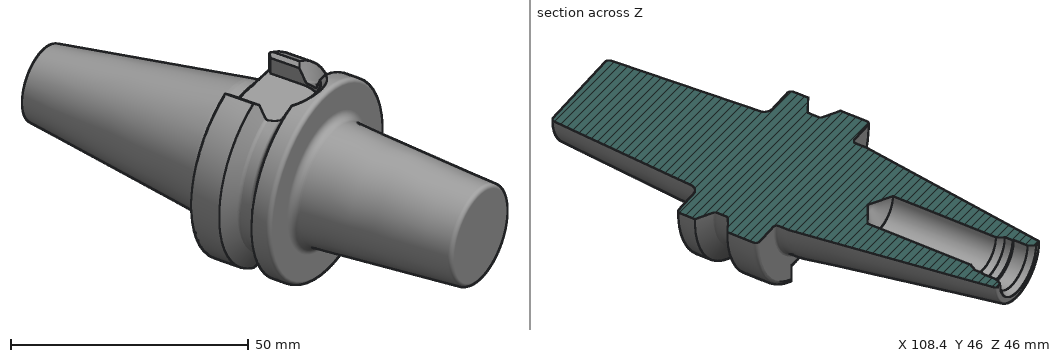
import cadquery as cq
import math


gauge_radius = 31.75 / 2
shank_length = 48.4
shank_taper = 7 / 48
tip_round = 0.45

neck_radius = 15.67
neck_blend_radius = 7.0
neck_fillet = 0.8

flange_start = 2.0
flange_width = 20.0
flange_radius = 23.0
flange_round = 1.0
groove_center = 13.4
groove_top_width = 8.0
groove_floor_radius = 18.8
groove_half_angle = math.radians(30)
groove_floor_round = 0.8

nose_end = 60.0
nose_end_radius = 11.5
nose_angle = math.radians(4)
nose_fillet = 2.0
nose_end_round = 1.0

slot_width = 16.1
slot_end = 19.0
slot_floor_height = 16.3
slot_mouth_chamfer = 1.0
slot_rim_chamfer = 1.3

bore_edge_chamfer = 0.25
bore_mouth_radius = 7.0
bore_pilot_radius = 6.3
bore_land_radius = 6.1
bore_thread_radius = 5.1
bore_mouth_depth = 1.5
bore_pilot_depth = 4.9
bore_land_depth = 7.0
bore_step_chamfer = 0.2
bore_thread_depth = 34.0
bore_cone_half_angle = math.radians(30)
drill_point_half_angle = math.radians(59)

shank_tip = -shank_length
flange_end = flange_start + flange_width
groove_start = groove_center - groove_top_width / 2
groove_stop = groove_center + groove_top_width / 2
slot_radius = slot_width / 2
selection_margin = 0.05


def make_body():
    """Revolve the outer profile of shank, neck, flange and nose about X."""
    shank_tip_radius = gauge_radius - shank_length * shank_taper
    neck_start = (neck_radius - gauge_radius) / shank_taper
    groove_run = (flange_radius - groove_floor_radius) * math.tan(groove_half_angle)
    nose_root_radius = nose_end_radius + (nose_end - flange_end) * math.tan(nose_angle)

    corners = [
        (shank_tip, shank_tip_radius, tip_round),
        (neck_start, neck_radius, neck_blend_radius),
        (flange_start, neck_radius, neck_fillet),
        (flange_start, flange_radius, flange_round),
        (groove_start, flange_radius, 0),
        (groove_start + groove_run, groove_floor_radius, groove_floor_round),
        (groove_stop - groove_run, groove_floor_radius, groove_floor_round),
        (groove_stop, flange_radius, 0),
        (flange_end, flange_radius, flange_round),
        (flange_end, nose_root_radius, nose_fillet),
        (nose_end, nose_end_radius, nose_end_round),
    ]
    outline = [(shank_tip, 0)]
    outline += [(x, radius) for x, radius, _ in corners]
    outline += [(nose_end, 0)]
    body = cq.Workplane("XY").polyline(outline).close().revolve(360, (0, 0), (1, 0))
    for x, radius, rounding in corners:
        if rounding > 0:
            body = body.edges(circle_at(x, radius)).fillet(rounding)
    return body


def circle_at(x, radius):
    """Selector for the circular edge of the given radius at position x."""
    margin = selection_margin
    reach = radius + margin
    return cq.selectors.BoxSelector(
        (x - margin, -reach, -reach), (x + margin, reach, reach), boundingbox=True
    ) - cq.selectors.BoxSelector(
        (x - margin, -radius + margin, -radius + margin),
        (x + margin, radius - margin, radius - margin),
        boundingbox=True,
    )


def make_bore():
    """Pull stud bore: chamfered mouth, pilot, narrower land, thread bore and drill point."""
    point_length = bore_thread_radius / math.tan(drill_point_half_angle)
    step_radius = bore_land_radius - bore_step_chamfer
    step_depth = bore_land_depth + bore_step_chamfer
    cone_length = (step_radius - bore_thread_radius) / math.tan(bore_cone_half_angle)
    outline = [
        (0, 0),
        (0, bore_mouth_radius + bore_edge_chamfer),
        (bore_edge_chamfer, bore_mouth_radius),
        (bore_mouth_depth, bore_pilot_radius),
        (bore_pilot_depth, bore_pilot_radius),
        (bore_pilot_depth + bore_step_chamfer, bore_land_radius),
        (bore_land_depth, bore_land_radius),
        (step_depth, step_radius),
        (step_depth + cone_length, bore_thread_radius),
        (bore_thread_depth, bore_thread_radius),
        (bore_thread_depth + point_length, 0),
    ]
    bore = cq.Workplane("XY").polyline(outline).close().revolve(360, (0, 0), (1, 0))
    return bore.translate((shank_tip, 0, 0))


def make_slot():
    """Upper drive slot: round end toward the nose, mouth widened by chamfers."""
    mouth_half_width = slot_radius + slot_mouth_chamfer
    arc_center = slot_end - slot_radius
    return (
        cq.Workplane("XY", origin=(0, 0, slot_floor_height))
        .moveTo(flange_start, -mouth_half_width)
        .lineTo(flange_start + slot_mouth_chamfer, -slot_radius)
        .lineTo(arc_center, -slot_radius)
        .threePointArc((slot_end, 0), (arc_center, slot_radius))
        .lineTo(flange_start + slot_mouth_chamfer, slot_radius)
        .lineTo(flange_start, mouth_half_width)
        .close()
        .extrude(flange_radius)
    )


def cut_slot(body):
    """Cut the upper drive slot and chamfer its rim on the flange surface."""
    body = body.cut(make_slot())
    rim_height = math.sqrt(flange_radius**2 - slot_radius**2)
    margin = selection_margin
    wall_rim = cq.selectors.BoxSelector(
        (flange_start, -slot_radius - margin, rim_height - margin),
        (groove_center, slot_radius + margin, rim_height + margin),
        boundingbox=True,
    )
    end_rim = cq.selectors.BoxSelector(
        (groove_stop - margin, -slot_radius, rim_height),
        (slot_end + margin, slot_radius, flange_radius + margin),
        boundingbox=True,
    )
    return body.edges(wall_rim + end_rim).chamfer(slot_rim_chamfer)


result = make_body().cut(make_bore())
for turn in (0, 180):
    result = result.rotate((0, 0, 0), (1, 0, 0), turn)
    result = cut_slot(result)